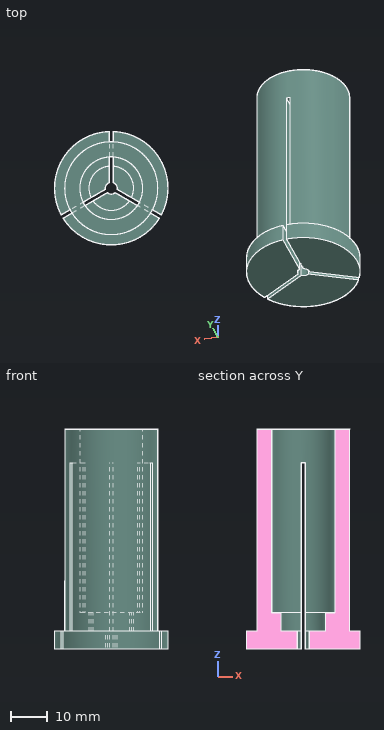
import cadquery as cq

total_height = 60.0
flange_diameter = 31.0
flange_height = 5.0
body_diameter = 25.4

bore_diameter = 17.1
counterbore_diameter = 12.1
pilot_diameter = 3.2
counterbore_floor = flange_height
bore_floor = 2 * flange_height

jaw_count = 3
slit_width = 1.0
slit_height = 50.8
first_slit_angle = 90.0


def cylinder(diameter, bottom, top):
    """Upright cylinder on the Z axis between two heights."""
    return cq.Workplane("XY").workplane(offset=bottom).circle(diameter / 2).extrude(top - bottom)


def radial_slit(angle):
    """Slit from the axis out to the flange rim, open at the bottom face."""
    slit = cq.Workplane("XY").box(
        flange_diameter, slit_width, slit_height, centered=(False, True, False)
    )
    return slit.rotate((0, 0, 0), (0, 0, 1), angle)


sleeve = cylinder(body_diameter, 0, total_height)
sleeve = sleeve.union(cylinder(flange_diameter, 0, flange_height))

sleeve = sleeve.cut(cylinder(bore_diameter, bore_floor, total_height))
sleeve = sleeve.cut(cylinder(counterbore_diameter, counterbore_floor, bore_floor))
sleeve = sleeve.cut(cylinder(pilot_diameter, 0, counterbore_floor))

for index in range(jaw_count):
    sleeve = sleeve.cut(radial_slit(first_slit_angle + index * 360 / jaw_count))

result = sleeve